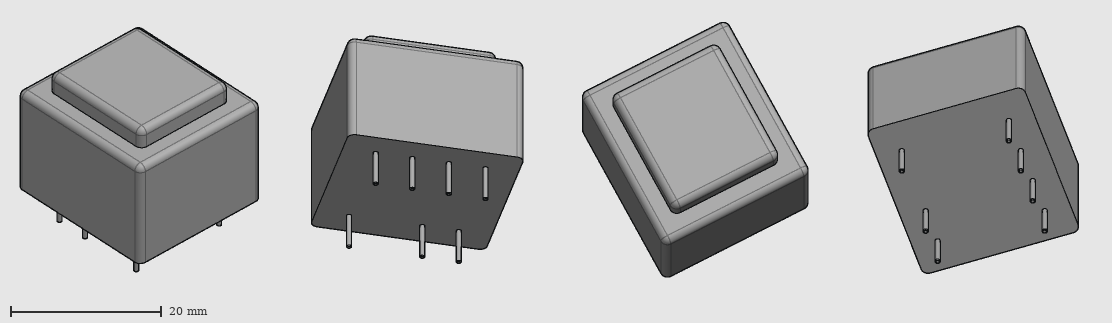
import cadquery as cq

housing_length = 24.0
housing_width = 22.0
housing_height = 16.0

raised_border = 3.0
raised_length = housing_length - 2 * raised_border
raised_width = housing_width - 2 * raised_border
raised_height = 3.0

edge_radius = 1.0

pin_diameter = 0.7
pin_length = 5.1
pin_tip_chamfer = 0.125
pin_pitch = 5.0
row_spacing = 15.0

outer_column = 1.5 * pin_pitch
inner_column = 0.5 * pin_pitch
front_row = -row_spacing / 2
back_row = row_spacing / 2
front_columns = [-outer_column, -inner_column, outer_column]
back_columns = [-outer_column, -inner_column, inner_column, outer_column]
pin_positions = [(x, front_row) for x in front_columns]
pin_positions += [(x, back_row) for x in back_columns]


def make_rounded_block(length, width, height, base_z):
    """Block with rounded upright and top edges and a sharp bottom edge."""
    return (
        cq.Workplane("XY")
        .workplane(offset=base_z)
        .rect(length, width)
        .extrude(height)
        .edges("|Z or >Z")
        .fillet(edge_radius)
    )


def make_pin(x, y):
    """Round pin from the underside of the housing down to its chamfered tip."""
    return (
        cq.Workplane("XY")
        .center(x, y)
        .circle(pin_diameter / 2)
        .extrude(-pin_length)
        .faces("<Z")
        .chamfer(pin_tip_chamfer)
    )


base_block = make_rounded_block(housing_length, housing_width, housing_height, 0)
raised_block = make_rounded_block(raised_length, raised_width, raised_height, housing_height)
housing = base_block.union(raised_block)

pins = [make_pin(x, y) for x, y in pin_positions]

result = cq.Compound.makeCompound([housing.val(), *[pin.val() for pin in pins]])